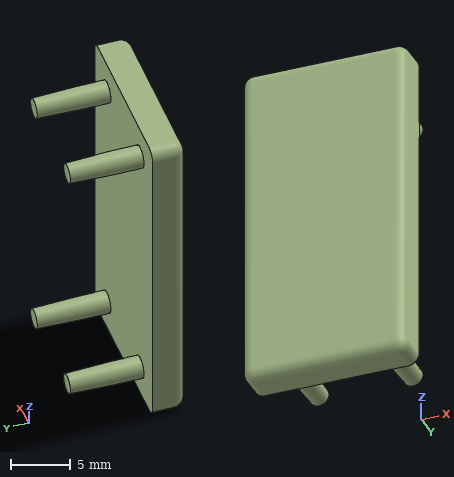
import cadquery as cq

width = 15.0
height = 30.0
plate_thickness = 3.0
edge_radius = 1.0

total_depth = 9.5
pin_length = total_depth - plate_thickness
pin_root_length = 2.52
pin_diameter = 2.0
pin_tip_diameter = 1.8
pin_spacing_x = 8.55
pin_spacing_z = 24.0


def make_plate():
    """Rectangular plate with rounded corners and a rounded front rim."""
    block = cq.Workplane("XY").box(width, plate_thickness, height)
    block = block.translate((0, -plate_thickness / 2, 0))
    return block.edges("|Y or <Y").fillet(edge_radius)


def make_pin():
    """Pin along +Y, rooted on the back face of the plate."""
    root_radius = pin_diameter / 2
    tip_radius = pin_tip_diameter / 2
    half_profile = (
        cq.Workplane("XY")
        .moveTo(0, -plate_thickness / 2)
        .lineTo(root_radius, -plate_thickness / 2)
        .lineTo(root_radius, pin_root_length)
        .lineTo(tip_radius, pin_length)
        .lineTo(0, pin_length)
        .close()
    )
    return half_profile.revolve(360, (0, 0, 0), (0, 1, 0))


result = make_plate()
for side_x in (-1, 1):
    for side_z in (-1, 1):
        position = (side_x * pin_spacing_x / 2, 0, side_z * pin_spacing_z / 2)
        result = result.union(make_pin().translate(position))